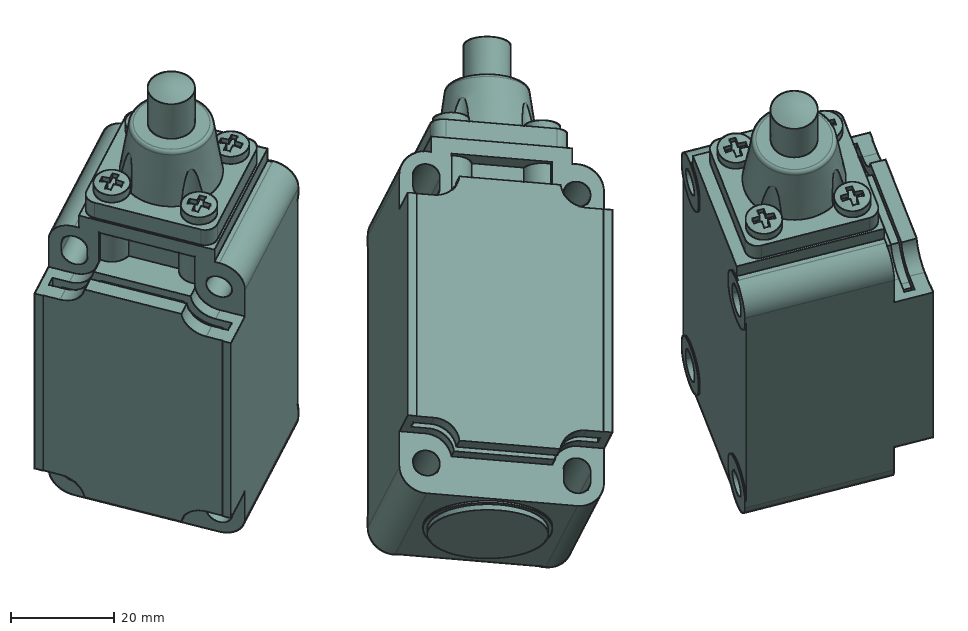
import cadquery as cq
import math


body_width = 40.5
body_front = -13.9
body_back = 16.1
body_bottom = 1.6
body_top = 73.9
corner_radius = 5.3
body_mid_z = (body_bottom + body_top) / 2
half_width = body_width / 2
half_height = (body_top - body_bottom) / 2

hole_diameter = 5.3
slot_length = 7.4
pad_length = 12.8
pad_height = 0.3
hole_x = half_width - corner_radius
hole_z = half_height - pad_length / 2

cover_front = -21.9
cover_half_height = 27.9
notch_half_height = 23.5
notch_radius = 5.1
notch_center_x = 15.1
wall_thickness = 1.8
lid_recess = 0.1
groove_depth = 1.9
groove_back = -16.5
groove_width = 2.1

window_half_width = 9.9
window_back = -10.0
screw_boss_radius = 4.0

neck_width = 27.9
plate_bottom = 77.1
plate_top = 81.2
plate_width = 27.0
plate_corner = 2.5

guide_base_radius = 10.0
guide_top_radius = 8.2
guide_top = 94.2
guide_edge_radius = 0.8
scallop_radius = 3.9
plunger_radius = 4.6
plunger_top = 104.7
plunger_dome = 1.2

screw_offset = 9.0
screw_radius = 3.6
screw_rim = 2.0
screw_dome = 0.4
cross_length = 4.4
cross_width = 1.3
cross_depth = 1.3

entry_y = -0.5
entry_collar_radius = 12.6
entry_collar_height = 0.4
entry_radius = 11.7

signs = (-1, 1)


def box(x_size, y_min, y_max, z_min, z_max):
    """Block centered on X = 0."""
    return (
        cq.Workplane("XY")
        .box(x_size, y_max - y_min, z_max - z_min, centered=(True, False, False))
        .translate((0, y_min, z_min))
    )


def front_plane(y):
    """Sketch plane at depth y, centered on the body, that extrudes toward +Y."""
    return cq.Workplane(cq.Plane(origin=(0, y, body_mid_z), xDir=(-1, 0, 0), normal=(0, 1, 0)))


def domed_cylinder(radius, z_min, z_rim, dome):
    """Upright cylinder on the Z axis with a spherical cap rising above its rim."""
    sphere_radius = (radius**2 + dome**2) / (2 * dome)
    mid_rise = dome - sphere_radius + math.sqrt(sphere_radius**2 - (radius / 2) ** 2)
    return (
        cq.Workplane("XZ")
        .moveTo(0, z_min)
        .lineTo(radius, z_min)
        .lineTo(radius, z_rim)
        .threePointArc((radius / 2, z_rim + mid_rise), (0, z_rim + dome))
        .close()
        .revolve(360, (0, 0), (0, 1))
    )


def notched_slab(y_min, y_max, half_x, inset):
    """Cover-shaped slab whose ends and corner notches are moved inward by inset."""
    end_z = cover_half_height - inset
    ledge_z = notch_half_height - inset
    radius = notch_radius + inset
    arc_center_z = notch_half_height + notch_radius
    arc_end_x = notch_center_x - math.sqrt(radius**2 - (arc_center_z - end_z) ** 2)
    slab = front_plane(y_min).rect(2 * half_x, 2 * end_z).extrude(y_max - y_min)
    for side_x in signs:
        for side_z in signs:
            arc_middle = math.radians(45)
            notch = (
                front_plane(y_min)
                .moveTo(side_x * arc_end_x, side_z * end_z)
                .threePointArc(
                    (
                        side_x * (notch_center_x - radius * math.cos(arc_middle)),
                        side_z * (arc_center_z - radius * math.sin(arc_middle)),
                    ),
                    (side_x * notch_center_x, side_z * ledge_z),
                )
                .lineTo(side_x * half_width, side_z * ledge_z)
                .lineTo(side_x * half_width, side_z * end_z)
                .close()
                .extrude(y_max - y_min)
            )
            slab = slab.cut(notch)
    return slab


def make_body():
    body = box(body_width, body_front, body_back, body_bottom, body_top)
    body = body.edges("|Y").fillet(corner_radius)
    pads = (
        front_plane(body_back)
        .rect(2 * hole_x, 2 * hole_z, forConstruction=True)
        .vertices()
        .slot2D(pad_length, 2 * corner_radius, 90)
        .extrude(pad_height)
    )
    neck = box(neck_width, body_front, body_back, body_mid_z, plate_bottom)
    return body.union(pads).union(neck)


def make_window():
    window = box(
        2 * window_half_width, body_front, window_back, body_mid_z + cover_half_height, body_top
    )
    bosses = (
        cq.Workplane("XY")
        .pushPoints([(side * screw_offset, -screw_offset) for side in signs])
        .circle(screw_boss_radius)
        .extrude(body_top)
    )
    return window.cut(bosses)


def make_cover():
    cover = notched_slab(cover_front, body_front, half_width, 0)
    groove_front = groove_back - groove_width
    lid_half_x = half_width - wall_thickness
    groove = notched_slab(groove_front, groove_back, lid_half_x, 0).cut(
        notched_slab(groove_front, groove_back, lid_half_x - groove_depth, groove_depth)
    )
    recess = notched_slab(cover_front, cover_front + lid_recess, lid_half_x, 0)
    return cover.cut(groove).cut(recess)


def make_mounting_holes():
    depth = body_back + pad_height - body_front
    holes = (
        front_plane(body_front)
        .pushPoints([(-hole_x, hole_z), (hole_x, -hole_z)])
        .circle(hole_diameter / 2)
        .extrude(depth)
    )
    slots = (
        front_plane(body_front)
        .pushPoints([(hole_x, hole_z), (-hole_x, -hole_z)])
        .slot2D(slot_length, hole_diameter, 90)
        .extrude(depth)
    )
    return holes.union(slots)


def make_screw():
    rim_z = plate_top + screw_rim
    screw = domed_cylinder(screw_radius, plate_top, rim_z, screw_dome)
    cross_bottom = rim_z + screw_dome - cross_depth
    cross = (
        cq.Workplane("XY", origin=(0, 0, cross_bottom))
        .rect(cross_length, cross_width)
        .extrude(cross_depth)
        .union(
            cq.Workplane("XY", origin=(0, 0, cross_bottom))
            .rect(cross_width, cross_length)
            .extrude(cross_depth)
        )
    )
    return screw.cut(cross)


def make_head():
    plate = box(plate_width, -plate_width / 2, plate_width / 2, plate_bottom, plate_top)
    plate = plate.edges("|Z").fillet(plate_corner)
    guide = (
        cq.Workplane("XY", origin=(0, 0, plate_top))
        .circle(guide_base_radius)
        .workplane(offset=guide_top - plate_top)
        .circle(guide_top_radius)
        .loft()
        .faces(">Z")
        .edges()
        .fillet(guide_edge_radius)
    )
    screw_points = [(x * screw_offset, y * screw_offset) for x in signs for y in signs]
    scallops = (
        cq.Workplane("XY", origin=(0, 0, plate_top))
        .pushPoints(screw_points)
        .circle(scallop_radius)
        .extrude(guide_top - plate_top)
    )
    plunger = domed_cylinder(plunger_radius, plate_top, plunger_top - plunger_dome, plunger_dome)
    head = plate.union(guide.cut(scallops)).union(plunger)
    screw = make_screw()
    for x, y in screw_points:
        head = head.union(screw.translate((x, y, 0)))
    return head


def make_cable_entry():
    entry = cq.Workplane("XY").center(0, entry_y).circle(entry_radius).extrude(body_bottom)
    collar = (
        cq.Workplane("XY", origin=(0, entry_y, body_bottom))
        .circle(entry_collar_radius)
        .extrude(-entry_collar_height)
    )
    return entry.union(collar)


result = (
    make_body()
    .cut(make_window())
    .union(make_cover())
    .cut(make_mounting_holes())
    .union(make_head())
    .union(make_cable_entry())
)